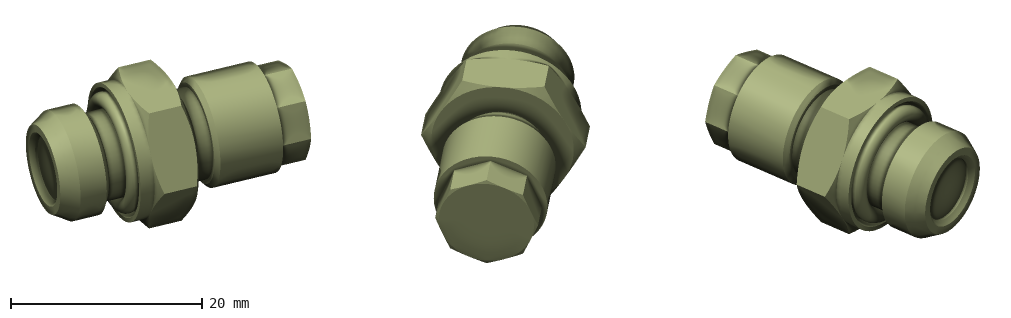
import cadquery as cq
import math

LENGTH = 28.1
FRONT_Y = -LENGTH / 2

TIP_RADIUS = 4.85
SPIGOT_RADIUS = 5.99
TIP_CHAMFER_END = 1.83
SPIGOT_END = 4.78
FRONT_NECK_START = 5.55
FRONT_NECK_RADIUS = 4.78

BORE_RADIUS = 3.48
BORE_CHAMFER = 0.5
BORE_DEPTH = 0.8

HEX_FLATS = 15.0
HEX_CORNER_RADIUS = HEX_FLATS / 2 / math.cos(math.pi / 6)
FLANGE_RADIUS = HEX_FLATS / 2
FLANGE_START = 7.98
HEX_START = 9.53
HEX_END = 14.5
HEX_CHAMFER_ANGLE = 30.0
HEX_CHAMFER_LENGTH = (HEX_CORNER_RADIUS - FLANGE_RADIUS) * math.tan(math.radians(HEX_CHAMFER_ANGLE))

RING_OUTER_RADIUS = 6.55
RING_TUBE_RADIUS = (RING_OUTER_RADIUS - FRONT_NECK_RADIUS) / 2
RING_CENTER_RADIUS = FRONT_NECK_RADIUS + RING_TUBE_RADIUS
RING_FRONT = 7.15
RING_CENTER = RING_FRONT + RING_TUBE_RADIUS
RECESS_MOUTH_RADIUS = 7.02
RECESS_FLOOR = RING_FRONT + 2 * RING_TUBE_RADIUS

REAR_NECK_RADIUS = 4.3
REAR_NECK_END = 15.55
COLLAR_RADIUS = 4.97
COLLAR_END = 17.08
CYLINDER_RADIUS = 5.99
CYLINDER_CHAMFER_RADIUS = 5.45
CYLINDER_CHAMFER_END = 17.55
CYLINDER_END = 24.62

OCTAGON_FLATS = 10.0
OCTAGON_CORNER_RADIUS = OCTAGON_FLATS / 2 / math.cos(math.pi / 8)
OCTAGON_CHAMFER_LENGTH = 0.1
OCTAGON_CHAMFER_RADIUS = OCTAGON_FLATS / 2


def revolve_profile(points):
    """Revolve (radius, station) points about the Y axis."""
    placed = [(radius, FRONT_Y + station) for radius, station in points]
    return cq.Workplane("XY").polyline(placed).close().revolve(360, (0, 0, 0), (0, 1, 0))


def prism(sides, corner_radius, start, end):
    """Make a regular prism along Y with one corner on the X axis."""
    plane = cq.Workplane("XZ", origin=(0, FRONT_Y + end, 0))
    return plane.polygon(sides, 2 * corner_radius).extrude(end - start)


def make_turned_body():
    return revolve_profile([
        (0, 0),
        (TIP_RADIUS, 0),
        (SPIGOT_RADIUS, TIP_CHAMFER_END),
        (SPIGOT_RADIUS, SPIGOT_END),
        (FRONT_NECK_RADIUS, FRONT_NECK_START),
        (FRONT_NECK_RADIUS, FLANGE_START),
        (FLANGE_RADIUS, FLANGE_START),
        (FLANGE_RADIUS, HEX_START),
        (FLANGE_RADIUS, HEX_END),
        (REAR_NECK_RADIUS, HEX_END),
        (REAR_NECK_RADIUS, REAR_NECK_END),
        (COLLAR_RADIUS, REAR_NECK_END),
        (COLLAR_RADIUS, COLLAR_END),
        (CYLINDER_CHAMFER_RADIUS, COLLAR_END),
        (CYLINDER_RADIUS, CYLINDER_CHAMFER_END),
        (CYLINDER_RADIUS, CYLINDER_END),
        (0, CYLINDER_END),
    ])


def make_hexagon():
    chamfer_envelope = revolve_profile([
        (0, HEX_START),
        (FLANGE_RADIUS, HEX_START),
        (HEX_CORNER_RADIUS, HEX_START + HEX_CHAMFER_LENGTH),
        (HEX_CORNER_RADIUS, HEX_END - HEX_CHAMFER_LENGTH),
        (FLANGE_RADIUS, HEX_END),
        (0, HEX_END),
    ])
    return prism(6, HEX_CORNER_RADIUS, HEX_START, HEX_END).intersect(chamfer_envelope)


def make_octagon():
    chamfer_envelope = revolve_profile([
        (0, CYLINDER_END),
        (OCTAGON_CORNER_RADIUS, CYLINDER_END),
        (OCTAGON_CORNER_RADIUS, LENGTH - OCTAGON_CHAMFER_LENGTH),
        (OCTAGON_CHAMFER_RADIUS, LENGTH),
        (0, LENGTH),
    ])
    return prism(8, OCTAGON_CORNER_RADIUS, CYLINDER_END, LENGTH).intersect(chamfer_envelope)


def make_bore():
    return revolve_profile([
        (0, 0),
        (BORE_RADIUS + BORE_CHAMFER, 0),
        (BORE_RADIUS, BORE_CHAMFER),
        (BORE_RADIUS, BORE_DEPTH),
        (0, BORE_DEPTH),
    ])


def make_ring_recess():
    """Make the recess around the neck, narrowing inward to the ring's outer radius."""
    return revolve_profile([
        (FRONT_NECK_RADIUS, FLANGE_START),
        (RECESS_MOUTH_RADIUS, FLANGE_START),
        (RING_OUTER_RADIUS, RECESS_FLOOR),
        (FRONT_NECK_RADIUS, RECESS_FLOOR),
    ])


def make_fitting():
    body = make_turned_body().union(make_hexagon()).union(make_octagon())
    return body.cut(make_bore()).cut(make_ring_recess())


def make_seal_ring():
    section = cq.Workplane("XY").center(RING_CENTER_RADIUS, FRONT_Y + RING_CENTER).circle(RING_TUBE_RADIUS)
    return section.revolve(360, (-RING_CENTER_RADIUS, 0, 0), (-RING_CENTER_RADIUS, 1, 0))


fitting = make_fitting()
seal_ring = make_seal_ring()

result = cq.Compound.makeCompound([fitting.solids().val(), seal_ring.val()])